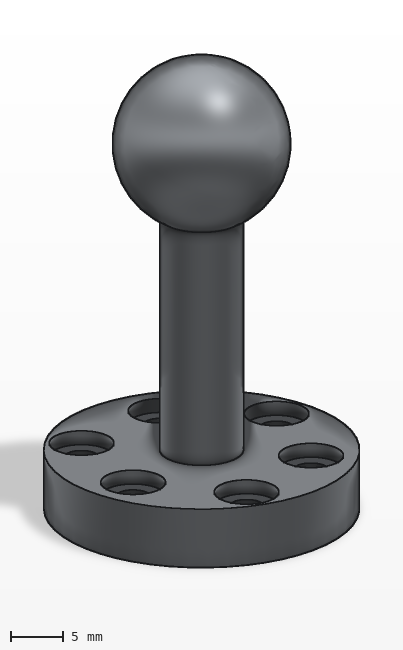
import cadquery as cq

total_height = 45.9
base_diameter = 30.0
base_thickness = 6.0
stem_diameter = 8.0
ball_diameter = 17.0

holes_per_set = 3
set_pitch_angle = 360 / holes_per_set
outer_hole_radius = 11.5
outer_start_angle = 90
inner_hole_radius = 10.5
inner_start_angle = outer_start_angle + set_pitch_angle / 2
hole_diameter = 3.2
counterbore_diameter = 6.15
counterbore_depth = 1.4

ball_center_height = total_height - ball_diameter / 2


def drill_hole_set(body, radius, start_angle):
    """Counterbore one ring of screw holes from the top of the base."""
    return (
        body.faces(">Z").workplane()
        .polarArray(radius, start_angle, 360, holes_per_set)
        .cboreHole(hole_diameter, counterbore_diameter, counterbore_depth)
    )


base = cq.Workplane("XY").circle(base_diameter / 2).extrude(base_thickness)
base = drill_hole_set(base, outer_hole_radius, outer_start_angle)
base = drill_hole_set(base, inner_hole_radius, inner_start_angle)

stem = (
    cq.Workplane("XY").workplane(offset=base_thickness)
    .circle(stem_diameter / 2)
    .extrude(ball_center_height - base_thickness)
)

ball = cq.Workplane("XY").sphere(ball_diameter / 2).translate((0, 0, ball_center_height))

result = base.union(stem).union(ball)